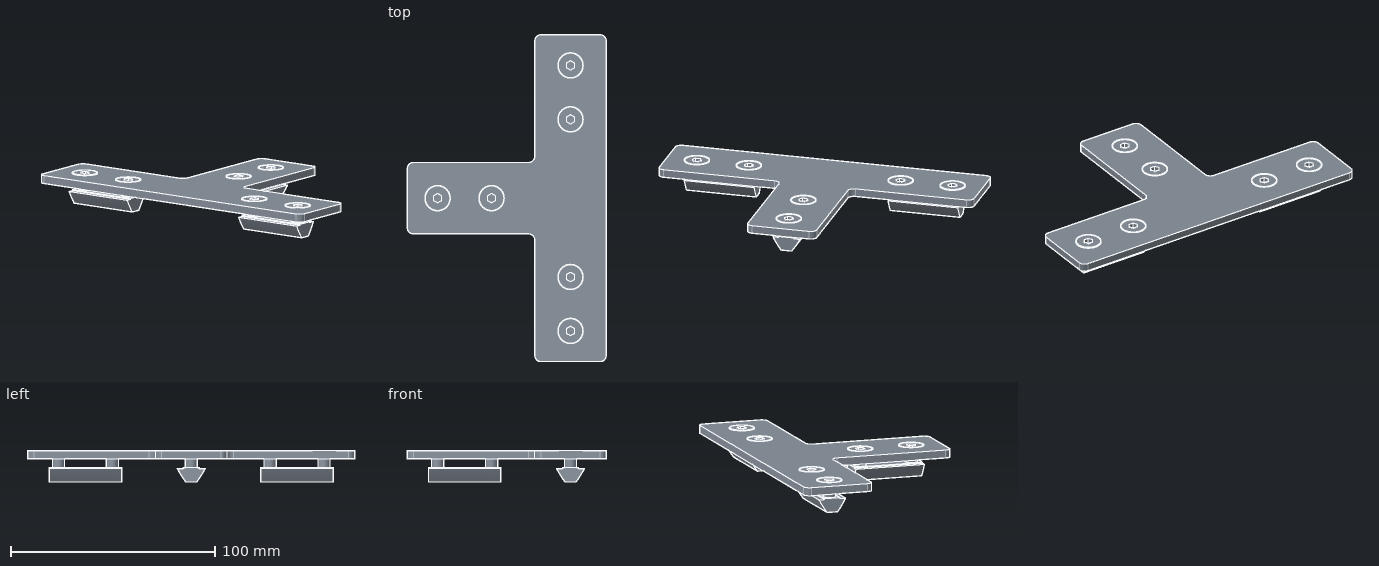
import cadquery as cq
import math

bar_length = 160.0
arm_reach = 97.5
limb_width = 35.0
plate_thickness = 4.0
corner_radius = 3.0

bar_end_to_screw = 15.0
arm_end_to_screw = 14.9
screw_pitch = 26.4
head_diameter = 12.0
shank_diameter = 6.0
socket_across_flats = 4.0
socket_depth = 2.5
proud_height = 0.2

countersink_diameter = 12.5
clearance_depth = 0.3

nut_length = 35.5
nut_gap = 4.3
rib_width = 8.0
rib_height = 0.5
shoulder_half_width = 6.9
waist_half_width = 5.0
foot_half_width = 2.7
flank_height = 6.5

bar_right = limb_width / 2
arm_end = bar_right - arm_reach
rib_top = -plate_thickness - nut_gap
shoulder_z = rib_top - rib_height

outer_y = bar_length / 2 - bar_end_to_screw
inner_y = outer_y - screw_pitch
outer_x = arm_end + arm_end_to_screw
inner_x = outer_x + screw_pitch
proud_screw = (0, -outer_y)
screw_points = [
    (0, outer_y),
    (0, inner_y),
    (0, -inner_y),
    proud_screw,
    (outer_x, 0),
    (inner_x, 0),
]


def make_plate():
    bar = cq.Workplane("XY").box(limb_width, bar_length, plate_thickness, centered=(True, True, False))
    arm = (
        cq.Workplane("XY")
        .center(arm_end, 0)
        .box(-arm_end, limb_width, plate_thickness, centered=(False, True, False))
    )
    plate = bar.union(arm).edges("|Z").fillet(corner_radius)
    return plate.translate((0, 0, -plate_thickness))


def make_clearance_ring(point):
    """Thin gap around a screw head, open at the top face."""
    return (
        cq.Workplane("XY")
        .center(*point)
        .circle(countersink_diameter / 2)
        .circle(head_diameter / 2)
        .extrude(-clearance_depth)
    )


def make_shank(point):
    """Round shank from the plate underside down into the nut."""
    return (
        cq.Workplane("XY", origin=(*point, -plate_thickness))
        .circle(shank_diameter / 2)
        .extrude(shoulder_z + plate_thickness)
    )


def make_socket(point):
    """Hexagonal drive socket with two corners pointing along Y."""
    across_corners = socket_across_flats / math.cos(math.pi / 6)
    return (
        cq.Workplane("XY", origin=(*point, proud_height))
        .transformed(rotate=(0, 0, 90))
        .polygon(6, across_corners)
        .extrude(-socket_depth - proud_height)
    )


def make_nut(x, y, angle):
    """Slot nut lying along Y, turned by angle about Z and centred at x, y."""
    waist_z = shoulder_z - flank_height / 2
    foot_z = shoulder_z - flank_height
    profile = (
        cq.Workplane("XZ")
        .moveTo(-rib_width / 2, rib_top)
        .lineTo(rib_width / 2, rib_top)
        .lineTo(rib_width / 2, shoulder_z)
        .lineTo(shoulder_half_width, shoulder_z)
        .threePointArc((waist_half_width, waist_z), (foot_half_width, foot_z))
        .lineTo(-foot_half_width, foot_z)
        .threePointArc((-waist_half_width, waist_z), (-shoulder_half_width, shoulder_z))
        .lineTo(-rib_width / 2, shoulder_z)
        .close()
    )
    nut = profile.extrude(nut_length / 2, both=True)
    return nut.rotate((0, 0, 0), (0, 0, 1), angle).translate((x, y, 0))


result = make_plate()

for screw_point in screw_points:
    result = result.cut(make_clearance_ring(screw_point)).union(make_shank(screw_point))

proud_head = cq.Workplane("XY").center(*proud_screw).circle(head_diameter / 2).extrude(proud_height)
result = result.union(proud_head)

for screw_point in screw_points:
    result = result.cut(make_socket(screw_point))

pair_y = (outer_y + inner_y) / 2
pair_x = (outer_x + inner_x) / 2
for nut_x, nut_y, nut_angle in [(0, pair_y, 0), (0, -pair_y, 0), (pair_x, 0, 90)]:
    result = result.union(make_nut(nut_x, nut_y, nut_angle))